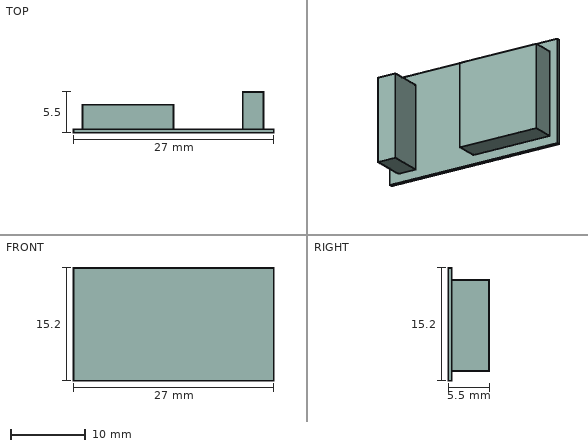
import cadquery as cq

plate_width = 27.0
plate_thickness = 0.5
plate_height = 15.2

block_bottom = 1.3
block_height = 12.3

wide_block_left = 1.2
wide_block_width = 12.3
wide_block_depth = 3.3

narrow_block_left = 22.8
narrow_block_width = 2.8
narrow_block_depth = 5.0


def make_plate():
    """Upright panel with its lower left front corner at the origin."""
    return cq.Workplane("XY").box(plate_width, plate_thickness, plate_height, centered=False)


def back_block(left, width, depth):
    """Block standing on the back face of the plate."""
    block = cq.Workplane("XY").box(width, depth, block_height, centered=False)
    return block.translate((left, plate_thickness, block_bottom))


plate = make_plate()
wide_block = back_block(wide_block_left, wide_block_width, wide_block_depth)
narrow_block = back_block(narrow_block_left, narrow_block_width, narrow_block_depth)

result = plate.union(wide_block).union(narrow_block)